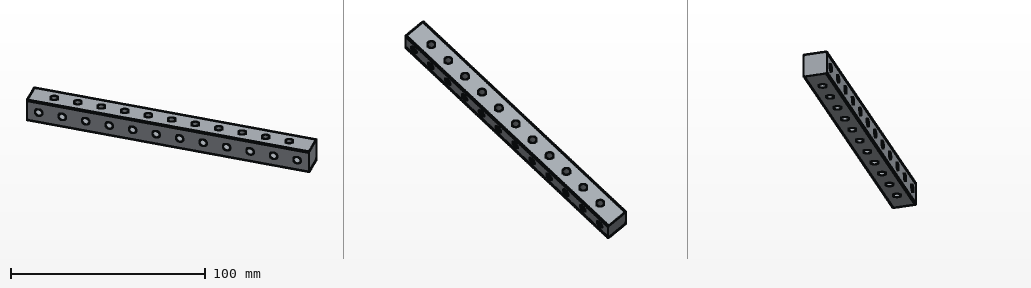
import cadquery as cq

pitch = 12.7
pitch_count = 12
side = pitch
length = pitch_count * pitch
edge_chamfer = 0.5
hole_diameter = 4.0


def make_bar():
    """Square bar centred on the origin with its four long edges chamfered."""
    bar = cq.Workplane("XY").box(length, side, side)
    return bar.edges("|X").chamfer(edge_chamfer)


def make_hole_row(plane, count):
    """Row of through-hole cylinders, centred along the bar and normal to the plane."""
    return (
        cq.Workplane(plane)
        .rarray(pitch, side, count, 1)
        .circle(hole_diameter / 2)
        .extrude(side, both=True)
    )


side_holes = make_hole_row("XZ", pitch_count)
top_holes = make_hole_row("XY", pitch_count - 1)

result = make_bar().cut(side_holes).cut(top_holes)